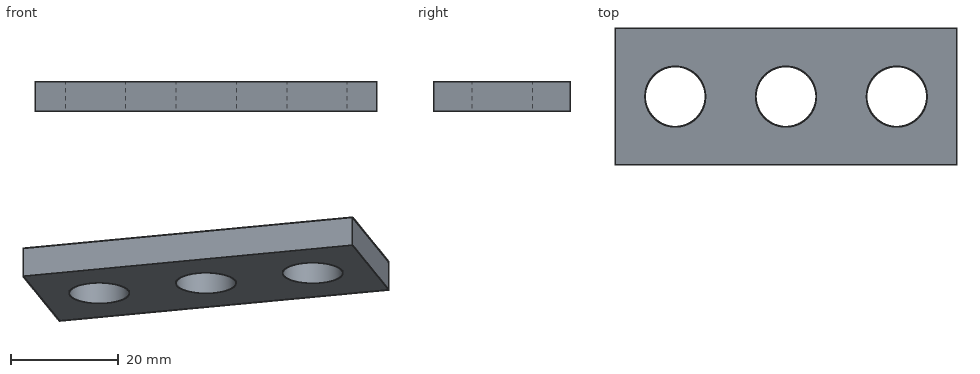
import cadquery as cq

length = 63.5
width = 25.4
thickness = 5.5

hole_diameter = 11.2
hole_spacing = 20.6
hole_count = 3

plate = cq.Workplane("XY").box(length, width, thickness)

result = (
    plate.faces(">Z")
    .workplane()
    .rarray(hole_spacing, width, hole_count, 1)
    .hole(hole_diameter)
)